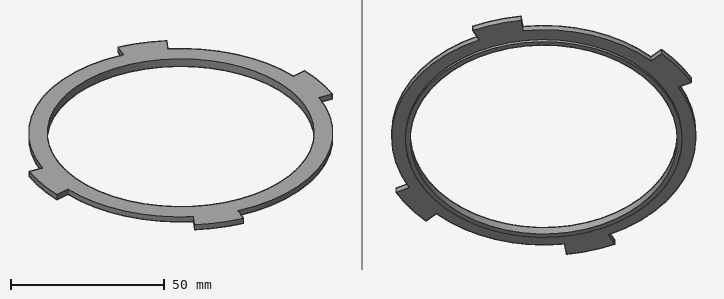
import cadquery as cq
import math

ring_diameter = 99.0
bore_diameter = 86.8
total_height = 3.0

lip_diameter = 90.0
lip_height = 1.0
ring_thickness = total_height - lip_height

tab_outer_radius = 54.3
tab_center_angle = 55.0
tab_span_angle = 17.4
tab_root_radius = (bore_diameter + ring_diameter) / 4
tab_angles = [
    tab_center_angle,
    180 - tab_center_angle,
    180 + tab_center_angle,
    360 - tab_center_angle,
]


def polar_point(radius, angle):
    """Point at a radius and an angle in degrees from the X axis."""
    radians = math.radians(angle)
    return (radius * math.cos(radians), radius * math.sin(radians))


def annulus(outer_diameter, height):
    """Flat ring around the common bore, standing on Z = 0."""
    return cq.Workplane("XY").circle(outer_diameter / 2).circle(bore_diameter / 2).extrude(height)


def rim_tab(center_angle):
    """Annular sector with radial sides, as thick as the ring."""
    start_angle = center_angle - tab_span_angle / 2
    end_angle = center_angle + tab_span_angle / 2
    return (
        cq.Workplane("XY", origin=(0, 0, lip_height))
        .moveTo(*polar_point(tab_root_radius, start_angle))
        .lineTo(*polar_point(tab_outer_radius, start_angle))
        .threePointArc(
            polar_point(tab_outer_radius, center_angle),
            polar_point(tab_outer_radius, end_angle),
        )
        .lineTo(*polar_point(tab_root_radius, end_angle))
        .threePointArc(
            polar_point(tab_root_radius, center_angle),
            polar_point(tab_root_radius, start_angle),
        )
        .close()
        .extrude(ring_thickness)
    )


result = annulus(ring_diameter, ring_thickness).translate((0, 0, lip_height))
result = result.union(annulus(lip_diameter, lip_height))

for tab_angle in tab_angles:
    result = result.union(rim_tab(tab_angle))